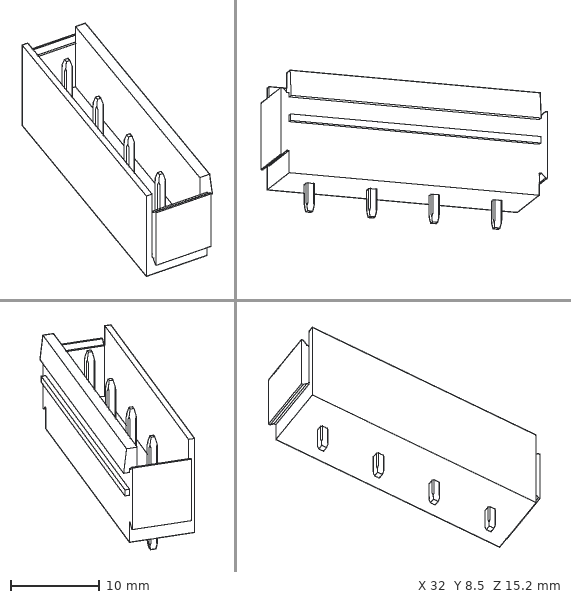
import cadquery as cq

OVERALL_LENGTH = 32.0
END_WALL = 1.0
TROUGH_LENGTH = OVERALL_LENGTH - 2 * END_WALL
HOUSING_DEPTH = 7.8
HOUSING_HEIGHT = 12.0
SIDE_WALL = 0.75
FLOOR_THICKNESS = 3.0
BACK_WALL_INNER_Y = 6.88

LATCH_HEIGHT = 3.07
LATCH_TOP_OVERHANG = 0.35
LATCH_BOTTOM_OVERHANG = 0.7

RIB_HEIGHT = 0.77
RIB_DEPTH = 0.55
RIB_BOTTOM_Z = 6.0

RIM_BOTTOM_Z = 2.1
RIM_TOP_Z = 9.95
RIM_THICKNESS = 0.22
FLARE_SIZE = 0.5

PIN_COUNT = 4
PIN_PITCH = 7.5
PIN_CENTER_Y = 3.8
PIN_WIDTH = 1.02
PIN_CORNER_CHAMFER = 0.175
PIN_BOTTOM_Z = -3.2
PIN_TOP_Z = 11.07
BOTTOM_TIP_LENGTH = 0.95
BOTTOM_TIP_WIDTH = 0.65
TOP_TIP_LENGTH = 1.2
TOP_TIP_WIDTH = 0.45


def make_trough():
    """U-shaped channel with the latch and the rib on its back wall."""
    latch_bottom_z = HOUSING_HEIGHT - LATCH_HEIGHT
    rib_top_z = RIB_BOTTOM_Z + RIB_HEIGHT
    section = [
        (0, 0),
        (HOUSING_DEPTH, 0),
        (HOUSING_DEPTH, RIB_BOTTOM_Z),
        (HOUSING_DEPTH + RIB_DEPTH, RIB_BOTTOM_Z),
        (HOUSING_DEPTH + RIB_DEPTH, rib_top_z),
        (HOUSING_DEPTH, rib_top_z),
        (HOUSING_DEPTH, latch_bottom_z),
        (HOUSING_DEPTH + LATCH_BOTTOM_OVERHANG, latch_bottom_z),
        (HOUSING_DEPTH + LATCH_TOP_OVERHANG, HOUSING_HEIGHT),
        (BACK_WALL_INNER_Y, HOUSING_HEIGHT),
        (BACK_WALL_INNER_Y, FLOOR_THICKNESS),
        (SIDE_WALL, FLOOR_THICKNESS),
        (SIDE_WALL, HOUSING_HEIGHT),
        (0, HOUSING_HEIGHT),
    ]
    return cq.Workplane("YZ").polyline(section).close().extrude(TROUGH_LENGTH / 2, both=True)


def make_end_wall():
    """Flared wall that closes the +X end of the trough."""
    inner_x = TROUGH_LENGTH / 2
    outer_x = OVERALL_LENGTH / 2
    rim_x = outer_x - RIM_THICKNESS
    flare_x = rim_x - FLARE_SIZE
    neck_bottom_z = RIM_BOTTOM_Z + FLARE_SIZE
    neck_top_z = RIM_TOP_Z - FLARE_SIZE
    section = [
        (inner_x, neck_bottom_z),
        (flare_x, neck_bottom_z),
        (rim_x, RIM_BOTTOM_Z),
        (outer_x, RIM_BOTTOM_Z),
        (outer_x, RIM_TOP_Z),
        (rim_x, RIM_TOP_Z),
        (flare_x, neck_top_z),
        (inner_x, neck_top_z),
    ]
    return (
        cq.Workplane("XZ", origin=(0, SIDE_WALL, 0))
        .polyline(section)
        .close()
        .extrude(-(HOUSING_DEPTH - SIDE_WALL))
    )


def square_prism(bottom_z, height):
    return (
        cq.Workplane("XY", origin=(0, PIN_CENTER_Y, bottom_z))
        .rect(PIN_WIDTH, PIN_WIDTH)
        .extrude(height)
    )


def square_taper(base_z, tip_z, tip_width):
    """Four-sided taper from the full pin width down to the tip width."""
    return (
        cq.Workplane("XY", origin=(0, PIN_CENTER_Y, base_z))
        .rect(PIN_WIDTH, PIN_WIDTH)
        .workplane(offset=tip_z - base_z)
        .rect(tip_width, tip_width)
        .loft(ruled=True)
    )


def make_pin():
    """Square pin centred on X = 0, with chamfered corners and tapered tips."""
    shank_bottom_z = PIN_BOTTOM_Z + BOTTOM_TIP_LENGTH
    shank_top_z = PIN_TOP_Z - TOP_TIP_LENGTH
    tapered_bar = (
        square_prism(shank_bottom_z, shank_top_z - shank_bottom_z)
        .union(square_taper(shank_bottom_z, PIN_BOTTOM_Z, BOTTOM_TIP_WIDTH))
        .union(square_taper(shank_top_z, PIN_TOP_Z, TOP_TIP_WIDTH))
    )
    chamfered_bar = (
        square_prism(PIN_BOTTOM_Z, PIN_TOP_Z - PIN_BOTTOM_Z)
        .edges("|Z")
        .chamfer(PIN_CORNER_CHAMFER)
    )
    return tapered_bar.intersect(chamfered_bar)


def make_pins():
    first_x = -PIN_PITCH * (PIN_COUNT - 1) / 2
    return [make_pin().translate((first_x + i * PIN_PITCH, 0, 0)) for i in range(PIN_COUNT)]


def make_housing(pins):
    """Trough with both end walls, and a matching hole in the floor for each pin."""
    end_wall = make_end_wall()
    housing = make_trough().union(end_wall).union(end_wall.mirror("YZ"))
    for pin in pins:
        housing = housing.cut(pin)
    return housing


pins = make_pins()
housing = make_housing(pins)
bodies = [housing, *pins]
result = cq.Compound.makeCompound([body.solids().val() for body in bodies])